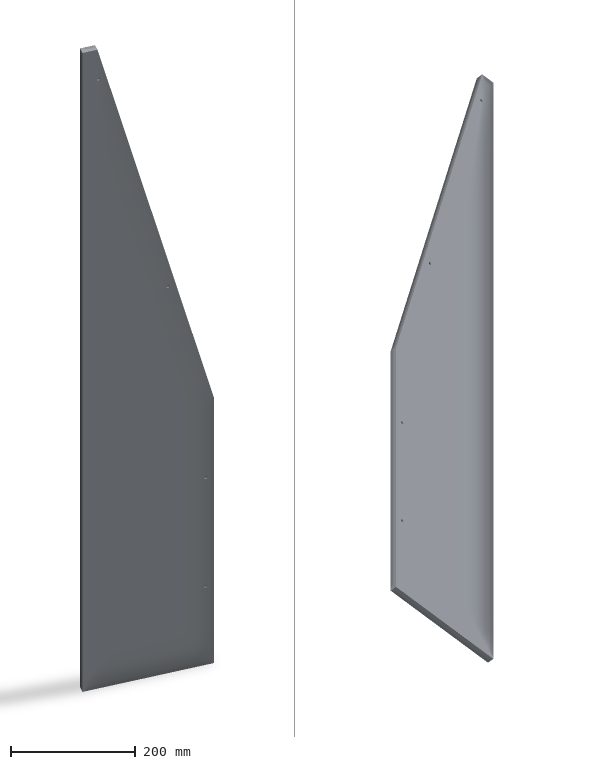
import cadquery as cq

thickness = 12.0
bottom_depth = 222.25
top_depth = 25.4
height = 1344.41
taper_start_height = 558.8

hole_diameter = 5.33
hole_inset = 14.0
hole_heights = [165.1, 393.7, 813.0, 1282.0]


def panel_depth(z):
    """Depth of the panel at height z."""
    if z <= taper_start_height:
        return bottom_depth
    taper_fraction = (z - taper_start_height) / (height - taper_start_height)
    return bottom_depth + taper_fraction * (top_depth - bottom_depth)


def make_panel():
    """Flat panel with a straight front edge and a back edge tapering towards the top."""
    outline = [
        (0, 0),
        (bottom_depth, 0),
        (bottom_depth, taper_start_height),
        (top_depth, height),
        (0, height),
    ]
    return cq.Workplane("YZ").polyline(outline).close().extrude(thickness)


def drill_holes(panel):
    """Cut the row of fixing holes right through the panel."""
    centres = [(panel_depth(z) - hole_inset, z) for z in hole_heights]
    holes = cq.Workplane("YZ").pushPoints(centres).circle(hole_diameter / 2).extrude(thickness)
    return panel.cut(holes)


result = drill_holes(make_panel())